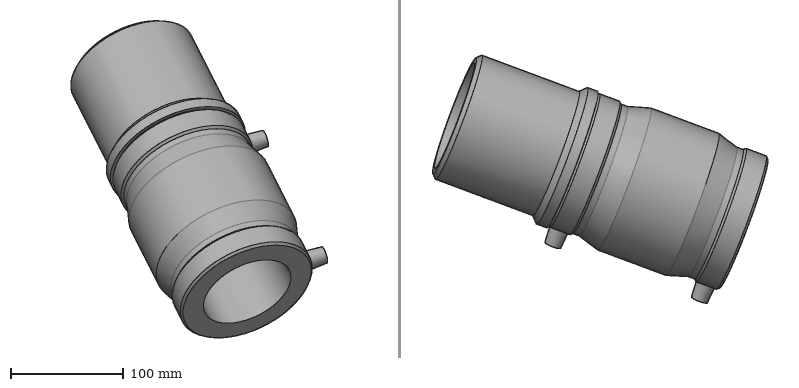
import cadquery as cq

LENGTH = 275.0

SPIGOT_DIAMETER = 118.0
SPIGOT_TIP_DIAMETER = 110.0
SPIGOT_BORE_DIAMETER = 100.0
SPIGOT_CHAMFER_LENGTH = (SPIGOT_DIAMETER - SPIGOT_TIP_DIAMETER) / 2
SPIGOT_LENGTH = 96.5

RING_DIAMETER = 129.8
RING_CHAMFER_LENGTH = (RING_DIAMETER - SPIGOT_DIAMETER) / 2
RING_LENGTH = 9.6

COLLAR_DIAMETER = 126.9
COLLAR_LENGTH = 23.5
COLLAR_CHAMFER_LENGTH = 2.25

NECK_DIAMETER = 123.09
NECK_LENGTH = 6.0
BARREL_DIAMETER = 135.0
BARREL_LENGTH = 64.7
FIRST_TAPER_LENGTH = 20.0

NARROW_BORE_DIAMETER = 84.0
BORE_TAPER_START = SPIGOT_LENGTH
BORE_TAPER_LENGTH = 15.0

TERMINAL_TIP_DIAMETER = 15.3
TERMINAL_BASE_DIAMETER = 18.0
TERMINAL_TIP_Y = 79.0
TERMINAL_BASE_Y = 60.0

FIRST_COLLAR_X = SPIGOT_LENGTH + RING_CHAMFER_LENGTH + RING_LENGTH
SECOND_COLLAR_X = LENGTH - COLLAR_LENGTH


def revolve_about_x(stations):
    """Solid of revolution from (x, diameter) stations, listed along the axis."""
    start_x = stations[0][0]
    end_x = stations[-1][0]
    outline = [(start_x, 0)]
    for x, diameter in stations:
        outline.append((x, diameter / 2))
    outline.append((end_x, 0))
    return cq.Workplane("XY").polyline(outline).close().revolve(360, (0, 0, 0), (1, 0, 0))


def collar_stations(start_x):
    """A collar chamfered at both ends, down to the neck diameter."""
    end_x = start_x + COLLAR_LENGTH
    return [
        (start_x, NECK_DIAMETER),
        (start_x + COLLAR_CHAMFER_LENGTH, COLLAR_DIAMETER),
        (end_x - COLLAR_CHAMFER_LENGTH, COLLAR_DIAMETER),
        (end_x, NECK_DIAMETER),
    ]


def outer_body():
    ring_x = SPIGOT_LENGTH + RING_CHAMFER_LENGTH
    first_taper_start = FIRST_COLLAR_X + COLLAR_LENGTH + NECK_LENGTH
    barrel_start = first_taper_start + FIRST_TAPER_LENGTH
    barrel_end = barrel_start + BARREL_LENGTH
    second_taper_end = SECOND_COLLAR_X - NECK_LENGTH
    stations = [
        (0, SPIGOT_TIP_DIAMETER),
        (SPIGOT_CHAMFER_LENGTH, SPIGOT_DIAMETER),
        (SPIGOT_LENGTH, SPIGOT_DIAMETER),
        (ring_x, RING_DIAMETER),
        (FIRST_COLLAR_X, RING_DIAMETER),
    ]
    stations += collar_stations(FIRST_COLLAR_X)
    stations += [
        (first_taper_start, NECK_DIAMETER),
        (barrel_start, BARREL_DIAMETER),
        (barrel_end, BARREL_DIAMETER),
        (second_taper_end, NECK_DIAMETER),
    ]
    stations += collar_stations(SECOND_COLLAR_X)
    return revolve_about_x(stations)


def bore():
    return revolve_about_x([
        (0, SPIGOT_BORE_DIAMETER),
        (BORE_TAPER_START, SPIGOT_BORE_DIAMETER),
        (BORE_TAPER_START + BORE_TAPER_LENGTH, NARROW_BORE_DIAMETER),
        (LENGTH, NARROW_BORE_DIAMETER),
    ])


def terminal(center_x):
    """Cone frustum on a collar, its base sunk into the collar wall."""
    half_profile = [
        (center_x, TERMINAL_BASE_Y),
        (center_x + TERMINAL_BASE_DIAMETER / 2, TERMINAL_BASE_Y),
        (center_x + TERMINAL_TIP_DIAMETER / 2, TERMINAL_TIP_Y),
        (center_x, TERMINAL_TIP_Y),
    ]
    axis_start = (center_x, 0, 0)
    axis_end = (center_x, 1, 0)
    return cq.Workplane("XY").polyline(half_profile).close().revolve(360, axis_start, axis_end)


result = outer_body().cut(bore())
for collar_x in (FIRST_COLLAR_X, SECOND_COLLAR_X):
    result = result.union(terminal(collar_x + COLLAR_LENGTH / 2))